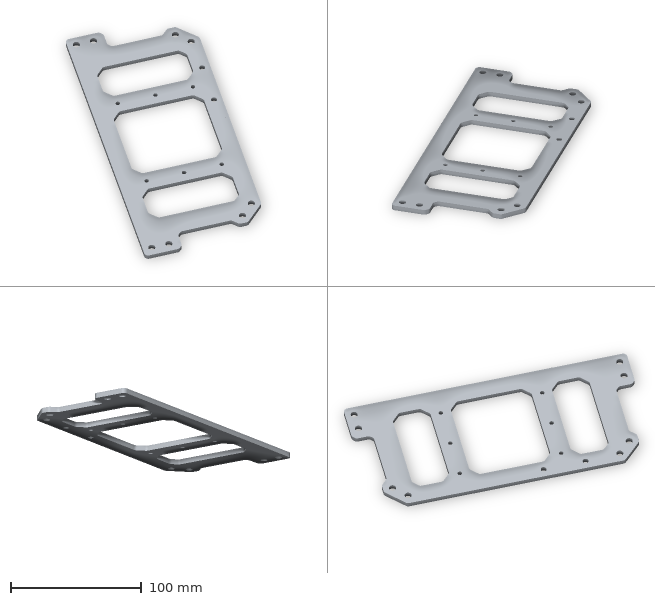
import cadquery as cq

length = 223.5
width = 100.0
thickness = 4.0

tab_depth = 30.0
neck_half_length = 95.7
lobe_half_length = 100.8
rear_corner_cut = 15.0
lobe_side = 6.7
outline_radius = 3.1
tab_corner_cut = 3.0

window_width = 72.0
window_corner_cut = 6.5
outer_rear_corner_cut = 5.1
window_corner_radius = 3.0
center_window_length = 64.0
side_window_length = 29.7
side_window_x = 62.8

mount_hole_diameter = 5.4
tab_hole_x = 104.9
tab_hole_inset = 7.2
tab_hole_pitch = 13.6
lobe_hole_x = 83.6
lobe_hole_inset = 7.4
lobe_hole_step = 9.8

bar_hole_diameter = 3.4
bar_hole_x = 40.0
bar_hole_pitch = 30.0
bar_hole_offset = 1.5

rear_hole_diameter = 4.5
rear_hole_inset = 6.5
rear_hole_left_x = -56.3
rear_hole_pitch = 33.0

rear_y = width / 2
front_y = -rear_y
tab_rear_y = front_y + tab_depth
lobe_rear_y = rear_y - rear_corner_cut
lobe_front_y = lobe_rear_y - lobe_side
neck_rear_y = lobe_front_y - (lobe_half_length - neck_half_length)


def with_mirror(points):
    """Return the points followed by their mirror images across X = 0, in reverse order."""
    return points + [(-x, y) for x, y in reversed(points)]


def prism(points):
    """Return a plate-thick solid with the given outline."""
    return cq.Workplane("XY").polyline(points).close().extrude(thickness)


def plate():
    right_half = [
        (length / 2, front_y),
        (length / 2, tab_rear_y - tab_corner_cut),
        (length / 2 - tab_corner_cut, tab_rear_y),
        (neck_half_length + tab_corner_cut, tab_rear_y),
        (neck_half_length, tab_rear_y + tab_corner_cut),
        (neck_half_length, neck_rear_y),
        (lobe_half_length, lobe_front_y),
        (lobe_half_length, lobe_rear_y),
        (lobe_half_length - rear_corner_cut, rear_y),
    ]
    return prism(with_mirror(right_half)).edges("|Z").fillet(outline_radius)


def window(window_length, rear_right_cut):
    """Return the cutter for one window, centred on the origin."""
    half_length = window_length / 2
    half_width = window_width / 2
    cut = window_corner_cut
    outline = [
        (half_length - cut, -half_width),
        (half_length, cut - half_width),
        (half_length, half_width - rear_right_cut),
        (half_length - rear_right_cut, half_width),
        (cut - half_length, half_width),
        (-half_length, half_width - cut),
        (-half_length, cut - half_width),
        (cut - half_length, -half_width),
    ]
    return prism(outline).edges("|Z").fillet(window_corner_radius)


def holes(diameter, centers):
    """Return the cutters for round through holes."""
    return cq.Workplane("XY").pushPoints(centers).circle(diameter / 2).extrude(thickness)


tab_hole_y = front_y + tab_hole_inset
lobe_hole_y = rear_y - lobe_hole_inset
mount_holes = [
    (tab_hole_x, tab_hole_y),
    (tab_hole_x, tab_hole_y + tab_hole_pitch),
    (lobe_hole_x, lobe_hole_y),
    (lobe_hole_x + lobe_hole_step, lobe_hole_y - lobe_hole_step),
]
bar_holes = [(bar_hole_x, bar_hole_offset + row * bar_hole_pitch) for row in (-1, 0, 1)]
rear_hole_y = rear_y - rear_hole_inset
rear_holes = [
    (rear_hole_left_x, rear_hole_y),
    (rear_hole_left_x + rear_hole_pitch, rear_hole_y),
]

right_window = window(side_window_length, outer_rear_corner_cut).translate((side_window_x, 0, 0))

result = (
    plate()
    .cut(window(center_window_length, window_corner_cut))
    .cut(right_window)
    .cut(right_window.mirror("YZ"))
    .cut(holes(mount_hole_diameter, with_mirror(mount_holes)))
    .cut(holes(bar_hole_diameter, with_mirror(bar_holes)))
    .cut(holes(rear_hole_diameter, rear_holes))
)